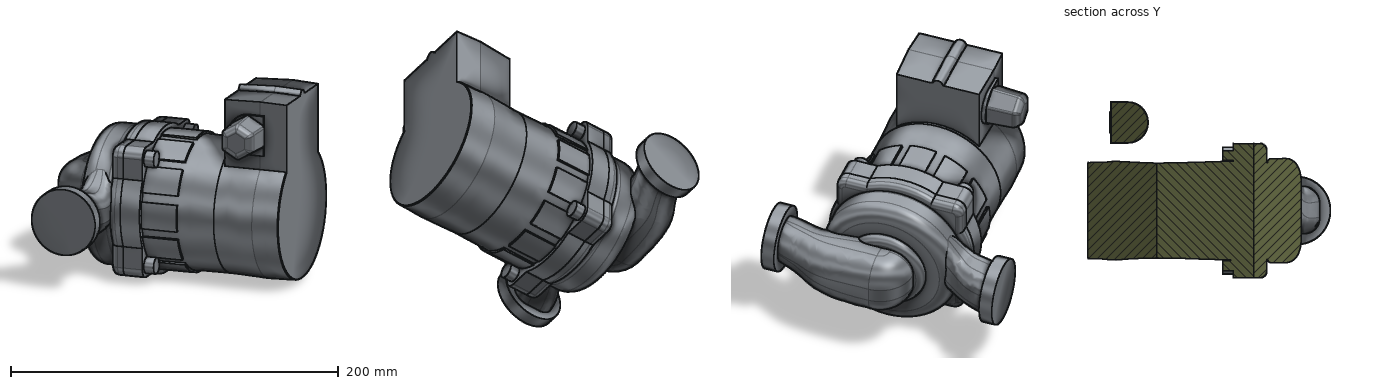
import cadquery as cq
import math


port_half_span = 75.0
port_disc_radius = 20.8
port_disc_thickness = 8.2
port_face = port_half_span - port_disc_thickness
pipe_radius = 14.1

elbow_left = -31.0
elbow_half_width = 19.2
elbow_half_height = 19.3
elbow_corner = 14.9
elbow_y = 1.6
bend_radius = 21.0
elbow_end = 0

inlet_sections = [
    (0, port_face, 0, pipe_radius, pipe_radius, 13.5, 0),
    (-2.7, 57.5, -0.3, 15.2, 14.5, 13.6, 0),
    (-6.5, 48.7, -0.5, 15.7, 15.7, 14.0, 0),
    (-10.1, 38, -0.5, 17.3, 17.5, 14.6, 0),
    (-11.5, 20.6, -0.2, 18.9, 19, elbow_corner, 0),
    (elbow_left + elbow_half_width, elbow_y, 0, elbow_half_width, elbow_half_height, elbow_corner, 0),
]
outlet_sections = [
    (0, -port_face, 0, pipe_radius, pipe_radius, 9.4, 0),
    (3.5, -54.4, 0.3, 13.5, 13.8, 9.0, 0),
    (8.1, -42.8, 2.5, 11.5, 12.4, 8, 20),
    (8.7, -24.5, 19, 9.2, 12.4, 8, 45),
]

volute_front = -3.0
volute_radius = 43.6
volute_front_fillet = 9.4
volute_rear_fillet = 2.5
ring_front = -8.4
ring_radius = 25.7
ring_fillet = 4.8

flange_front = 18.0
flange_joint = 26.2
flange_rear = 38.7
flange_radius = 46.3
flange_half_side = 41.0
flange_corner_radius = 6.3
flange_edge_fillet = 4.3

bolt_offset = 33.6
bolt_radius = 5.0
bolt_rear = 45.0

pad_count = 12
pad_angle = 22.4
pad_radius = 43.5
pad_rear = 61.7
barrel_front_radius = 42.6
barrel_rear_radius = 41.5

cover_front = 85.3
cover_parting = 110.3
cover_rear = 127.5
cover_draft = 2
cover_rear_chamfer = 0.5
cover_radius = barrel_rear_radius + (cover_parting - cover_front) * math.tan(math.radians(cover_draft))
cover_rear_radius = cover_radius - (cover_rear - cover_parting) * math.tan(math.radians(cover_draft))

box_front = 87.0
box_half_width = 27.7
box_top = 74.8
box_draft = 2.3
bar_radius = 4.3
bar_top = 77.7

gland_x = 103
gland_z = 53.7
plate_radius = 12.5
plate_reach = 10.1
plate_face = 29.6
nut_end = 50.2
nut_across_flats = 21.9
nut_draft = 3
nut_side_fillet = 1.6
nut_end_fillet = 4.5


def disc(x_start, x_end, radius):
    """Cylinder about the motor axis."""
    return cq.Workplane("YZ", origin=(x_start, 0, 0)).circle(radius).extrude(x_end - x_start)


def cone(x_start, x_end, start_radius, end_radius):
    """Tapered disc about the motor axis."""
    outline = [(x_start, 0), (x_end, 0), (x_end, end_radius), (x_start, start_radius)]
    return cq.Workplane("XY").polyline(outline).close().revolve(360, (0, 0, 0), (1, 0, 0))


def pipe(sections):
    """Smooth loft through rounded rectangles that stand across the Y axis."""
    outlines = []
    for x, y, z, half_width, half_height, corner, tilt in sections:
        outline = cq.Sketch().rect(2 * half_width, 2 * half_height).vertices().fillet(corner)
        across_y = cq.Location(cq.Vector(x, y, z), cq.Vector(1, 0, 0), 90 + tilt)
        outlines.append(outline.moved(across_y))
    return cq.Workplane("XY").placeSketch(*outlines).loft()


def port_disc(y_start):
    """Round connection disc at the end of a pipe."""
    disc_plane = cq.Workplane("XZ", origin=(0, y_start, 0))
    return disc_plane.circle(port_disc_radius).extrude(-port_disc_thickness)


def elbow():
    """Outer half of the pipe section, turned through a right angle and led on into the volute."""
    bend_x = elbow_left + bend_radius
    half_section = cq.Sketch().push([(-bend_radius / 2, 0)]).rect(bend_radius, 2 * elbow_half_height).reset()
    half_section = half_section.vertices("<X").fillet(elbow_corner)

    bend = cq.Workplane("XZ", origin=(bend_x, elbow_y, 0)).placeSketch(half_section)
    bend = bend.revolve(90, (0, 0, 0), (0, 1, 0))
    end_plane = cq.Plane(origin=(bend_x, elbow_y, 0), xDir=(0, 1, 0), normal=(1, 0, 0))
    end = cq.Workplane(end_plane).placeSketch(half_section).extrude(elbow_end - bend_x)
    return bend.union(end)


def flange(x_start, x_end):
    """Round flange with four square corners."""
    side = 2 * flange_half_side
    length = x_end - x_start
    corners = cq.Workplane("YZ", origin=(x_start, 0, 0)).rect(side, side).extrude(length)
    corners = corners.edges("|X").fillet(flange_corner_radius)
    return corners.union(disc(x_start, x_end, flange_radius))


def make_housing():
    ring = disc(ring_front, 0, ring_radius).faces("<X").edges().fillet(ring_fillet)
    volute = disc(volute_front, flange_front, volute_radius)
    volute = volute.faces("<X").edges().fillet(volute_front_fillet)
    volute = volute.faces(">X").edges().fillet(volute_rear_fillet)
    back = flange(flange_front, flange_joint).faces("<X").edges().fillet(flange_edge_fillet)

    inlet = pipe(inlet_sections).union(elbow())
    outlet = pipe(outlet_sections)

    housing = volute.union(ring).union(back).union(inlet).union(outlet)
    return housing.union(port_disc(port_face)).union(port_disc(-port_half_span))


def make_motor():
    motor = cone(flange_joint, cover_front, barrel_front_radius, barrel_rear_radius)
    motor = motor.union(flange(flange_joint, flange_rear))

    pad_outline = cq.Workplane("XY").moveTo(flange_rear, 0)
    pad_outline = pad_outline.lineTo(pad_rear, 0).lineTo(pad_rear, pad_radius).lineTo(flange_rear, pad_radius)
    pad = pad_outline.close().revolve(pad_angle, (0, 0, 0), (1, 0, 0))
    for index in range(pad_count):
        angle = index * 360 / pad_count - pad_angle / 2
        motor = motor.union(pad.rotate((0, 0, 0), (1, 0, 0), angle))

    bolts = cq.Workplane("YZ", origin=(flange_rear, 0, 0))
    bolts = bolts.rect(2 * bolt_offset, 2 * bolt_offset, forConstruction=True).vertices()
    bolts = bolts.circle(bolt_radius).extrude(bolt_rear - flange_rear)
    return motor.union(bolts)


def make_terminal_box():
    """Box with a round bar along its top, tapering to both sides of the parting plane."""
    bar_half_width = math.sqrt(bar_radius**2 - (box_top - bar_top + bar_radius) ** 2)
    halves = []
    for length in (box_front - cover_parting, cover_rear - cover_parting):
        profile = cq.Workplane("YZ", origin=(cover_parting, 0, 0))
        profile = profile.moveTo(-box_half_width, 0).lineTo(box_half_width, 0)
        profile = profile.lineTo(box_half_width, box_top).lineTo(bar_half_width, box_top)
        profile = profile.threePointArc((0, bar_top), (-bar_half_width, box_top))
        profile = profile.lineTo(-box_half_width, box_top).close()
        halves.append(profile.extrude(length, taper=box_draft))
    return halves[0].union(halves[1])


def make_gland():
    """Backing plate, round on one side and square on the other, with a tapered hexagon nut."""
    plate_plane = cq.Workplane("XZ", origin=(gland_x, 0, gland_z))
    plate = plate_plane.moveTo(0, plate_radius).lineTo(plate_reach, plate_radius)
    plate = plate.lineTo(plate_reach, -plate_radius).lineTo(0, -plate_radius)
    plate = plate.threePointArc((-plate_radius, 0), (0, plate_radius)).close().extrude(plate_face)

    nut_diameter = nut_across_flats / math.cos(math.pi / 6)
    nut = cq.Workplane("XZ", origin=(0, -plate_face, 0)).polygon(6, nut_diameter)
    nut = nut.extrude(nut_end - plate_face, taper=nut_draft)
    nut = nut.rotate((0, 0, 0), (0, 1, 0), 30)
    nut = nut.edges("not #Y").fillet(nut_side_fillet)
    nut = nut.faces("<Y").edges().fillet(nut_end_fillet)
    return plate.union(nut.translate((gland_x, 0, gland_z)))


def make_end_cover():
    cover = cone(cover_parting, cover_rear, cover_radius, cover_rear_radius)
    cover = cover.faces(">X").edges().chamfer(cover_rear_chamfer)
    cover = cover.union(cone(cover_front, cover_parting, barrel_rear_radius, cover_radius))
    return cover.union(make_terminal_box()).union(make_gland())


housing = make_housing()
motor = make_motor()
end_cover = make_end_cover()

result = cq.Compound.makeCompound([housing.val(), motor.val(), end_cover.val()])